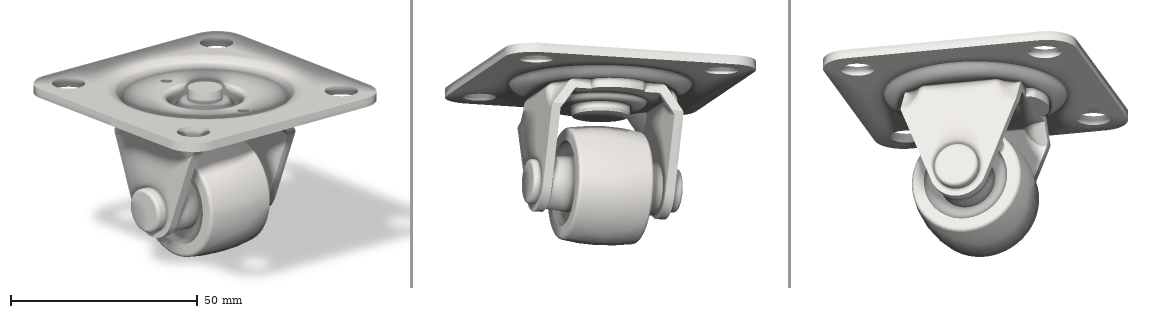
import cadquery as cq
import math


plate_size = 70.0
plate_thickness = 2.5
plate_corner_radius = 8.0
bolt_hole_radius = 4.5
bolt_hole_offset = 26.0
dish_depth = 2.45
dish_top_radius = 27.0
dish_shoulder_radius = 23.5
dish_shoulder_depth = 1.4
dish_floor_radius = 22.0
dish_underside_radius = 24.8
dish_underside_floor_radius = 19.95
funnel_top_radius = 12.0
funnel_shoulder_radius = 10.3
funnel_shoulder_drop = 0.85
funnel_hole_radius = 9.1
dimple_offset = 16.0
dimple_radius = 1.6
dimple_depth = 0.5
plate_bottom = -(plate_thickness + dish_depth)

overall_height = 46.5
wheel_radius = 16.0
wheel_half_width = 10.5
tread_edge_radius = 15.0
tread_edge_fillet = 1.0
recess_rim_radius = 11.55
recess_depth = 2.0
recess_fillet = 1.5
hub_half_length = 15.5
hub_base_radius = 7.6
hub_end_radius = 7.15
hub_end_chamfer = 0.2
axle_height = wheel_radius - overall_height

fork_thickness = 2.5
fork_half_width = 16.0
fork_outer_half_gap = 18.5
bend_outer_radius = 3.0
bend_inner_radius = bend_outer_radius - fork_thickness
leg_taper_start = -12.0
leg_end_radius = 8.0
tab_half_width = 7.5
tab_reach = 20.0
tab_end_radius = 12.0
tab_corner_radius = 3.0
race_top_radius = 12.5
race_bottom_radius = 10.5
race_depth = 1.4
scoop_radius = 6.0
scoop_tilt = 36.0
scoop_cylinder_length = 70.0
scoop_leg_height = -12.25
scoop_edge_fillet = 2.1
fork_top = plate_bottom
fork_inner_half_gap = fork_outer_half_gap - fork_thickness
fork_underside = fork_top - fork_thickness

kingpin_radius = 8.0
kingpin_bottom = -11.4
kingpin_chamfer_height = 0.85
kingpin_chamfer_width = 0.35
shoulder_rim_radius = 6.8
shoulder_rim_height = -3.65
shoulder_top_radius = 5.25
shoulder_top_height = -3.0
spigot_radius = 4.6

axle_radius = 4.0
axle_head_radius = 6.0
axle_head_fillet = 1.0
front_head_thickness = 3.0
rear_head_thickness = 2.0


def arc_middle(start, end, bulge):
    """Point halfway along an arc that bulges to the right of its chord; a negative bulge is to the left."""
    run = end[0] - start[0]
    rise = end[1] - start[1]
    chord = math.hypot(run, rise)
    middle_x = (start[0] + end[0]) / 2 + bulge * rise / chord
    middle_y = (start[1] + end[1]) / 2 - bulge * run / chord
    return middle_x, middle_y


def tangent_arc_sagitta(start, end):
    """Sagitta of the arc from start to end that leaves start horizontally."""
    run = abs(end[0] - start[0])
    drop = abs(end[1] - start[1])
    half_turn = math.atan2(drop, run)
    return math.hypot(run, drop) / 2 * math.tan(half_turn / 2)


def make_plate():
    plate = (
        cq.Workplane("XY")
        .rect(plate_size, plate_size)
        .extrude(-plate_thickness)
        .edges("|Z")
        .fillet(plate_corner_radius)
    )
    bolt_holes = (
        cq.Workplane("XY")
        .rect(2 * bolt_hole_offset, 2 * bolt_hole_offset, forConstruction=True)
        .vertices()
        .circle(bolt_hole_radius)
        .extrude(-plate_thickness)
    )
    under_rim = (dish_underside_radius, -plate_thickness)
    under_floor = (dish_underside_floor_radius, plate_bottom)
    under_sagitta = tangent_arc_sagitta(under_floor, under_rim)
    dish_body = (
        cq.Workplane("XZ")
        .lineTo(dish_underside_radius, 0)
        .lineTo(*under_rim)
        .threePointArc(arc_middle(under_rim, under_floor, -under_sagitta), under_floor)
        .lineTo(0, plate_bottom)
        .close()
        .revolve(360, (0, 0), (0, 1))
    )
    top_rim = (dish_top_radius, 0)
    top_shoulder = (dish_shoulder_radius, -dish_shoulder_depth)
    top_sagitta = tangent_arc_sagitta(top_rim, top_shoulder)
    funnel_rim = (funnel_top_radius, -dish_depth)
    funnel_shoulder = (funnel_shoulder_radius, -dish_depth - funnel_shoulder_drop)
    funnel_sagitta = tangent_arc_sagitta(funnel_rim, funnel_shoulder)
    hollow = (
        cq.Workplane("XZ")
        .lineTo(*top_rim)
        .threePointArc(arc_middle(top_rim, top_shoulder, top_sagitta), top_shoulder)
        .lineTo(dish_floor_radius, -dish_depth)
        .lineTo(*funnel_rim)
        .threePointArc(arc_middle(funnel_rim, funnel_shoulder, funnel_sagitta), funnel_shoulder)
        .lineTo(funnel_hole_radius, plate_bottom)
        .lineTo(0, plate_bottom)
        .close()
        .revolve(360, (0, 0), (0, 1))
    )
    dimples = (
        cq.Workplane("XY", origin=(0, 0, -dish_depth))
        .pushPoints([(-dimple_offset, 0), (dimple_offset, 0)])
        .circle(dimple_radius)
        .extrude(-dimple_depth)
    )
    return plate.union(dish_body).cut(hollow).cut(bolt_holes).cut(dimples)


def leg_outline():
    """Straight-sided fork outline that tapers along tangents to a round end about the axle."""
    drop = leg_taper_start - axle_height
    corner_distance = math.hypot(fork_half_width, drop)
    angle = math.atan2(drop, fork_half_width) - math.acos(leg_end_radius / corner_distance)
    tangent_x = leg_end_radius * math.cos(angle)
    tangent_z = axle_height + leg_end_radius * math.sin(angle)
    return (
        cq.Workplane("XZ")
        .moveTo(-fork_half_width, fork_top)
        .lineTo(fork_half_width, fork_top)
        .lineTo(fork_half_width, leg_taper_start)
        .lineTo(tangent_x, tangent_z)
        .threePointArc((0, axle_height - leg_end_radius), (-tangent_x, tangent_z))
        .lineTo(-fork_half_width, leg_taper_start)
        .close()
        .extrude(fork_outer_half_gap, both=True)
    )


def corner_cylinders(radius):
    """Cylinders that slant past the four upper corners of the fork, one for each end of each bend."""
    tilt = math.radians(scoop_tilt)
    cylinders = cq.Workplane("XY")
    for side in (-1, 1):
        axis = cq.Vector(0, -side * math.sin(tilt), math.cos(tilt))
        outward = cq.Vector(0, side * math.cos(tilt), math.sin(tilt))
        for end in (-1, 1):
            touch = cq.Vector(end * fork_half_width, side * fork_outer_half_gap, scoop_leg_height)
            base = touch + outward * scoop_radius - axis * (scoop_cylinder_length / 2)
            cylinders = cylinders.add(cq.Solid.makeCylinder(radius, scoop_cylinder_length, base, axis))
    return cylinders


def channel_block(half_width, top, bend_radius):
    """Block along X with its two upper long edges rounded."""
    height = top - axle_height + leg_end_radius
    return (
        cq.Workplane("XY", origin=(0, 0, top))
        .rect(2 * fork_half_width, 2 * half_width)
        .extrude(-height)
        .edges("|X and >Z")
        .fillet(bend_radius)
    )


def make_tabs():
    """Flat strip along X whose two ends are bowed and have rounded corners."""
    bow = tab_end_radius - math.sqrt(tab_end_radius**2 - tab_half_width**2)
    corner_x = tab_reach - bow
    return (
        cq.Workplane("XY", origin=(0, 0, fork_top))
        .moveTo(-corner_x, -tab_half_width)
        .lineTo(corner_x, -tab_half_width)
        .threePointArc((tab_reach, 0), (corner_x, tab_half_width))
        .lineTo(-corner_x, tab_half_width)
        .threePointArc((-tab_reach, 0), (-corner_x, -tab_half_width))
        .close()
        .extrude(-fork_thickness)
        .edges("|Z")
        .fillet(tab_corner_radius)
    )


def make_race():
    """Shallow bowl pressed down from the fork's flat top."""
    rim = (race_top_radius, fork_underside)
    floor = (race_bottom_radius, fork_underside - race_depth)
    sagitta = tangent_arc_sagitta(floor, rim)
    return (
        cq.Workplane("XZ")
        .moveTo(0, fork_top)
        .lineTo(race_top_radius, fork_top)
        .lineTo(*rim)
        .threePointArc(arc_middle(rim, floor, -sagitta), floor)
        .lineTo(0, floor[1])
        .close()
        .revolve(360, (0, 0), (0, 1))
    )


def make_fork():
    outside = channel_block(fork_outer_half_gap, fork_top, bend_outer_radius)
    for scoop in corner_cylinders(scoop_radius).vals():
        outside = outside.cut(cq.Workplane(scoop))
    outside = outside.edges("%ELLIPSE or %BSPLINE").fillet(scoop_edge_fillet)
    inside = channel_block(fork_inner_half_gap, fork_underside, bend_inner_radius)
    for backing in corner_cylinders(scoop_radius + fork_thickness).vals():
        inside = inside.cut(cq.Workplane(backing))
    fork = outside.cut(inside).intersect(leg_outline())
    fork = fork.union(make_tabs()).union(make_race())
    kingpin_hole = cq.Workplane("XY").circle(kingpin_radius).extrude(kingpin_bottom)
    axle_holes = (
        cq.Workplane("XZ", origin=(0, 0, axle_height))
        .circle(axle_radius)
        .extrude(fork_outer_half_gap, both=True)
    )
    return fork.cut(kingpin_hole).cut(axle_holes)


def make_kingpin():
    rim = (shoulder_rim_radius, shoulder_rim_height)
    crest = (shoulder_top_radius, shoulder_top_height)
    sagitta = tangent_arc_sagitta(crest, rim)
    return (
        cq.Workplane("XZ")
        .moveTo(0, kingpin_bottom)
        .lineTo(kingpin_radius - kingpin_chamfer_width, kingpin_bottom)
        .lineTo(kingpin_radius, kingpin_bottom + kingpin_chamfer_height)
        .lineTo(kingpin_radius, fork_top)
        .lineTo(*rim)
        .threePointArc(arc_middle(rim, crest, sagitta), crest)
        .lineTo(spigot_radius, shoulder_top_height)
        .lineTo(spigot_radius, 0)
        .lineTo(0, 0)
        .close()
        .revolve(360, (0, 0), (0, 1))
    )


def make_wheel():
    """Crowned wheel with recessed sides and a tapered hub, turned about the axle."""
    recess_floor = wheel_half_width - recess_depth
    hub_tip = hub_half_length - hub_end_chamfer
    tread = (
        cq.Workplane("XY", origin=(0, 0, axle_height))
        .moveTo(0, -wheel_half_width)
        .lineTo(tread_edge_radius, -wheel_half_width)
        .threePointArc((wheel_radius, 0), (tread_edge_radius, wheel_half_width))
        .lineTo(0, wheel_half_width)
        .close()
        .revolve(360, (0, 0), (0, 1))
        .faces("<Y or >Y")
        .edges()
        .fillet(tread_edge_fillet)
    )
    hub_half = (
        cq.Workplane("XY", origin=(0, 0, axle_height))
        .lineTo(hub_base_radius, 0)
        .lineTo(hub_base_radius, recess_floor)
        .lineTo(hub_end_radius, hub_tip)
        .lineTo(hub_end_radius - hub_end_chamfer, hub_half_length)
        .lineTo(0, hub_half_length)
        .close()
        .revolve(360, (0, 0), (0, 1))
    )
    recess = (
        cq.Workplane("XZ", origin=(0, wheel_half_width, axle_height))
        .circle(recess_rim_radius)
        .extrude(recess_depth)
        .faces("<Y")
        .edges()
        .fillet(recess_fillet)
    )
    bore = (
        cq.Workplane("XZ", origin=(0, 0, axle_height))
        .circle(axle_radius)
        .extrude(hub_half_length, both=True)
    )
    hub = hub_half.union(hub_half.mirror("XZ"))
    return tread.cut(recess).cut(recess.mirror("XZ")).union(hub).cut(bore)


def make_axle():
    shank = (
        cq.Workplane("XZ", origin=(0, 0, axle_height))
        .circle(axle_radius)
        .extrude(fork_outer_half_gap, both=True)
    )
    front_head = (
        cq.Workplane("XZ", origin=(0, -fork_outer_half_gap, axle_height))
        .circle(axle_head_radius)
        .extrude(front_head_thickness)
        .faces("<Y")
        .edges()
        .fillet(axle_head_fillet)
    )
    rear_head = (
        cq.Workplane("XZ", origin=(0, fork_outer_half_gap, axle_height))
        .circle(axle_head_radius)
        .extrude(-rear_head_thickness)
        .faces(">Y")
        .edges()
        .fillet(axle_head_fillet)
    )
    return shank.union(front_head).union(rear_head)


plate = make_plate()
fork = make_fork()
kingpin = make_kingpin()
wheel = make_wheel()
axle = make_axle()

result = cq.Compound.makeCompound([plate.val(), fork.val(), kingpin.val(), wheel.val(), axle.val()])